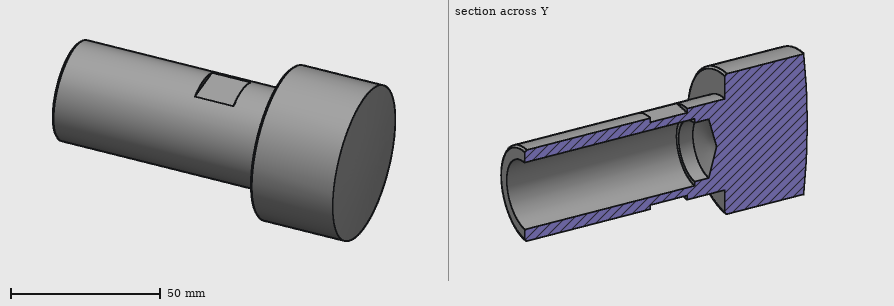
import cadquery as cq
import math

total_length = 107.8
head_diameter = 53.9
shank_diameter = 35.0
head_start = 76.2
crown_height = 1.4
edge_chamfer = 0.8

bore_diameter = 25.4
bore_depth = 64.7
drill_diameter = 22.3
drill_depth = 70.1
drill_point_angle = 150.0

flat_start = 47.9
flat_length = 14.0
across_flats = 31.8


def turned_body():
    """Shank and head with chamfered edges and a shallow spherical crown."""
    head_radius = head_diameter / 2
    shank_radius = shank_diameter / 2
    rim_x = total_length - crown_height
    crown_radius = (head_radius**2 + crown_height**2) / (2 * crown_height)
    mid_height = head_radius / 2
    mid_x = total_length - crown_radius + math.sqrt(crown_radius**2 - mid_height**2)
    return (
        cq.Workplane("XY")
        .lineTo(0, shank_radius - edge_chamfer)
        .lineTo(edge_chamfer, shank_radius)
        .lineTo(head_start, shank_radius)
        .lineTo(head_start, head_radius - edge_chamfer)
        .lineTo(head_start + edge_chamfer, head_radius)
        .lineTo(rim_x, head_radius)
        .threePointArc((mid_x, mid_height), (total_length, 0))
        .close()
        .revolve(360, (0, 0, 0), (1, 0, 0))
    )


def stepped_bore():
    """Bore followed by a smaller drilled hole with a conical bottom."""
    bore_radius = bore_diameter / 2
    drill_radius = drill_diameter / 2
    point_length = drill_radius / math.tan(math.radians(drill_point_angle / 2))
    return (
        cq.Workplane("XY")
        .lineTo(0, bore_radius)
        .lineTo(bore_depth, bore_radius)
        .lineTo(bore_depth, drill_radius)
        .lineTo(drill_depth, drill_radius)
        .lineTo(drill_depth + point_length, 0)
        .close()
        .revolve(360, (0, 0, 0), (1, 0, 0))
    )


def flat_cutter(side):
    """Block that leaves one wrench flat; side is +1 for top, -1 for bottom."""
    block_height = shank_diameter / 2
    center_x = flat_start + flat_length / 2
    center_z = side * (across_flats + block_height) / 2
    block = cq.Workplane("XY").box(flat_length, shank_diameter, block_height)
    return block.translate((center_x, 0, center_z))


result = turned_body().cut(stepped_bore())
for side in (1, -1):
    result = result.cut(flat_cutter(side))